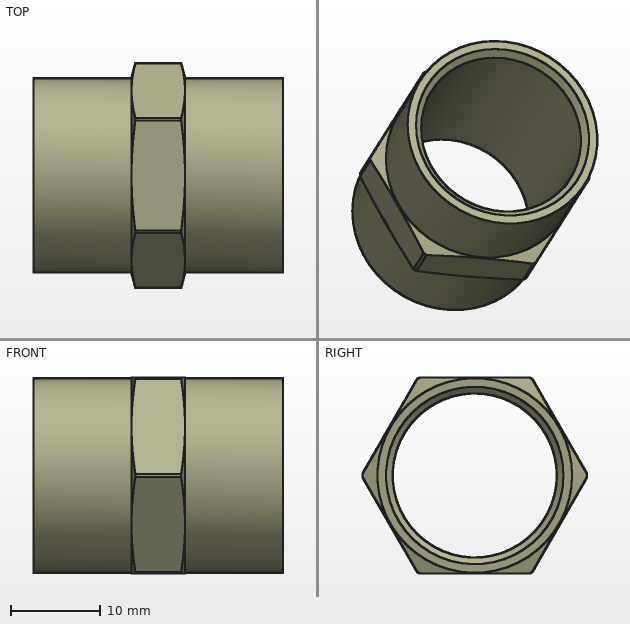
import cadquery as cq
import math

length = 28.0
body_diameter = 21.8
bore_diameter = 18.37

hex_width = 6.05
hex_across_flats = 22.0
hex_across_corners = 25.2
hex_chamfer_angle = 15.0

mouth_diameter = 19.88
mouth_depth = 0.75


def cylinder(diameter, width):
    """Cylinder on the X axis, centred on the origin."""
    return cq.Workplane("YZ").circle(diameter / 2).extrude(width / 2, both=True)


def hex_collar():
    """Hexagon with corners on +Y and -Y, turned to a barrel with conical faces."""
    sharp_diameter = hex_across_flats / math.cos(math.radians(30))
    hexagon = cq.Workplane("YZ").polygon(6, sharp_diameter).extrude(hex_width / 2, both=True)

    face_radius = body_diameter / 2
    corner_radius = hex_across_corners / 2
    face_x = hex_width / 2
    corner_x = face_x - (corner_radius - face_radius) * math.tan(math.radians(hex_chamfer_angle))
    barrel = (
        cq.Workplane("XY")
        .polyline([
            (-face_x, 0),
            (-face_x, face_radius),
            (-corner_x, corner_radius),
            (corner_x, corner_radius),
            (face_x, face_radius),
            (face_x, 0),
        ])
        .close()
        .revolve(360, (0, 0, 0), (1, 0, 0))
    )
    return hexagon.intersect(barrel)


def bore():
    """Through bore with a conical mouth at each end."""
    end_x = length / 2
    mouth_x = end_x - mouth_depth
    bore_radius = bore_diameter / 2
    mouth_radius = mouth_diameter / 2
    return (
        cq.Workplane("XY")
        .polyline([
            (-end_x, 0),
            (-end_x, mouth_radius),
            (-mouth_x, bore_radius),
            (mouth_x, bore_radius),
            (end_x, mouth_radius),
            (end_x, 0),
        ])
        .close()
        .revolve(360, (0, 0, 0), (1, 0, 0))
    )


result = cylinder(body_diameter, length).union(hex_collar()).cut(bore())